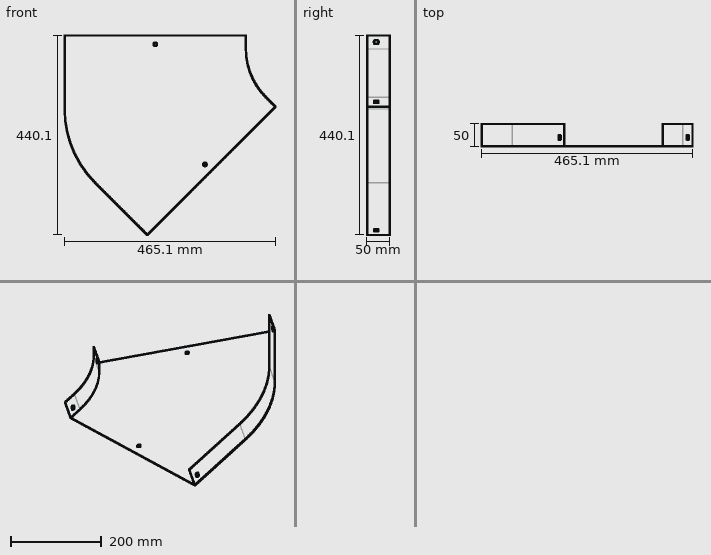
import cadquery as cq
import math

bend_angle = 45.0
tray_width = 400.0
inner_radius = 150.0
inner_straight = 30.0
outer_radius = 230.0
flange_height = 50.0
sheet = 0.8

hole_diameter = 7.0
plate_hole_inset = 20.0
slot_end_diameter = 10.0
slot_width = 7.0
slot_inset = 15.0
slot_height = 20.0

angle = math.radians(bend_angle)
leg_direction = (math.sin(angle), -math.cos(angle))
across_direction = (math.cos(angle), math.sin(angle))

inner_tangent = inner_radius * math.tan(angle / 2)
outer_tangent = outer_radius * math.tan(angle / 2)

inner_corner_depth = inner_straight + inner_tangent
outer_corner_depth = inner_corner_depth + tray_width * math.tan(angle / 2)
outer_straight = outer_corner_depth - outer_tangent


def offset(point, direction, distance):
    """Point moved by a distance along a unit direction in the XZ plane."""
    return (point[0] + direction[0] * distance, point[1] + direction[1] * distance)


def side_path(x, straight, radius):
    """Start, arc start, arc middle, arc end and end point of one side."""
    arc_center = (x + radius, -straight)
    arc_middle = (
        arc_center[0] - radius * math.cos(angle / 2),
        arc_center[1] - radius * math.sin(angle / 2),
    )
    arc_end = (
        arc_center[0] - radius * math.cos(angle),
        arc_center[1] - radius * math.sin(angle),
    )
    end = offset(arc_end, leg_direction, straight)
    return (x, 0.0), (x, -straight), arc_middle, arc_end, end


def extrude_between(left_side, right_side, height):
    """Solid between two side paths, rising from Y = 0 to the given height."""
    start, arc_start, arc_middle, arc_end, end = left_side
    right_start, right_arc_start, right_arc_middle, right_arc_end, right_end = right_side
    return (
        cq.Workplane("XZ")
        .moveTo(*start)
        .lineTo(*arc_start)
        .threePointArc(arc_middle, arc_end)
        .lineTo(*end)
        .lineTo(*right_end)
        .lineTo(*right_arc_end)
        .threePointArc(right_arc_middle, right_arc_start)
        .lineTo(*right_start)
        .close()
        .extrude(-height)
    )


def plate_hole(center):
    """Cutter for a round hole through the plate."""
    return (
        cq.Workplane("XZ")
        .center(*center)
        .circle(hole_diameter / 2)
        .extrude(-sheet)
    )


def flange_slot(center, normal):
    """Cutter for a slot through a flange with the given normal.

    The slot is a circle trimmed by two flats that run parallel to Y.
    """
    slot_plane = cq.Plane(
        origin=(center[0], slot_height, center[1]),
        xDir=(0, 1, 0),
        normal=(normal[0], 0, normal[1]),
    )
    cut_depth = 2 * sheet
    round_bar = cq.Workplane(slot_plane).circle(slot_end_diameter / 2).extrude(cut_depth, both=True)
    flat_bar = cq.Workplane(slot_plane).rect(slot_end_diameter, slot_width).extrude(cut_depth, both=True)
    return round_bar.intersect(flat_bar)


outer_face = side_path(0.0, outer_straight, outer_radius)
outer_flange_back = side_path(sheet, outer_straight, outer_radius - sheet)
inner_face = side_path(tray_width, inner_straight, inner_radius)
inner_flange_back = side_path(tray_width - sheet, inner_straight, inner_radius + sheet)

result = extrude_between(outer_face, inner_face, sheet)
result = result.union(extrude_between(outer_face, outer_flange_back, flange_height))
result = result.union(extrude_between(inner_flange_back, inner_face, flange_height))

top_hole = (tray_width / 2, -plate_hole_inset)
lower_end_middle = offset(outer_face[-1], across_direction, tray_width / 2)
lower_hole = offset(lower_end_middle, leg_direction, -plate_hole_inset)
for hole_center in (top_hole, lower_hole):
    result = result.cut(plate_hole(hole_center))

for face in (outer_face, inner_face):
    top_slot = (face[0][0], -slot_inset)
    lower_slot = offset(face[-1], leg_direction, -slot_inset)
    result = result.cut(flange_slot(top_slot, (1.0, 0.0)))
    result = result.cut(flange_slot(lower_slot, across_direction))